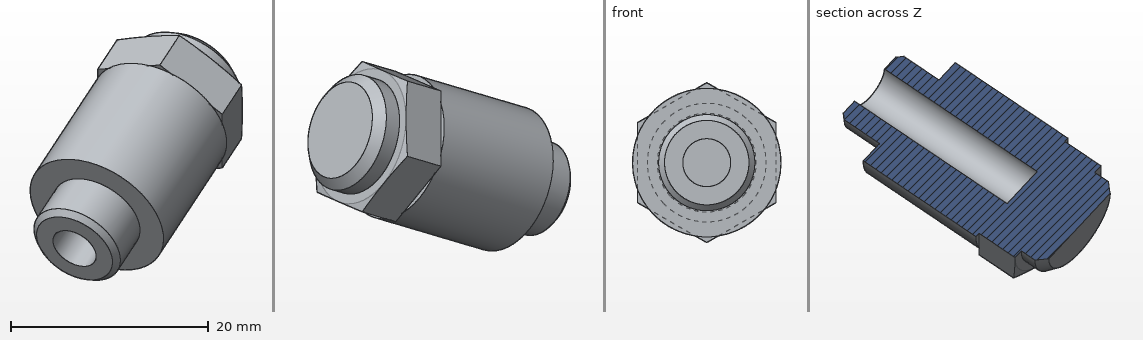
import cadquery as cq
import math

total_length = 27.1
spigot_length = 5.12
hex_length = 4.65
collar_length = 2.76
body_length = total_length - spigot_length - hex_length - collar_length

spigot_diameter = 9.73
body_diameter = 15.0
collar_diameter = 12.0
bore_diameter = 4.85
hex_across_corners = 16.18
hex_across_flats = hex_across_corners * math.cos(math.pi / 6)

spigot_chamfer = 0.6
collar_chamfer = 1.0
hex_chamfer_depth = 0.2
bore_depth = spigot_length + body_length

front_y = -total_length / 2
body_y = front_y + spigot_length
hex_y = body_y + body_length
collar_y = hex_y + hex_length


def plane_at(y):
    """Plane facing +Y whose local X axis points along Z."""
    return cq.Plane(origin=(0, y, 0), xDir=(0, 0, 1), normal=(0, 1, 0))


def cylinder(y, diameter, length):
    return cq.Workplane(plane_at(y)).circle(diameter / 2).extrude(length)


def hexagon():
    """Hexagon with corners along Z and its rear corners turned off conically."""
    prism = cq.Workplane(plane_at(hex_y)).polygon(6, hex_across_corners).extrude(hex_length)
    flat_radius = hex_across_flats / 2
    corner_radius = hex_across_corners / 2
    envelope = (
        cq.Workplane("XY")
        .moveTo(0, hex_y)
        .lineTo(corner_radius, hex_y)
        .lineTo(corner_radius, collar_y - hex_chamfer_depth)
        .lineTo(flat_radius, collar_y)
        .lineTo(0, collar_y)
        .close()
        .revolve(360, (0, 0, 0), (0, 1, 0))
    )
    return prism.intersect(envelope)


spigot = cylinder(front_y, spigot_diameter, spigot_length).faces("<Y").chamfer(spigot_chamfer)
body = cylinder(body_y, body_diameter, body_length)
collar = cylinder(collar_y, collar_diameter, collar_length).faces(">Y").chamfer(collar_chamfer)

bore = cylinder(front_y, bore_diameter, bore_depth)

result = spigot.union(body).union(hexagon()).union(collar).cut(bore)